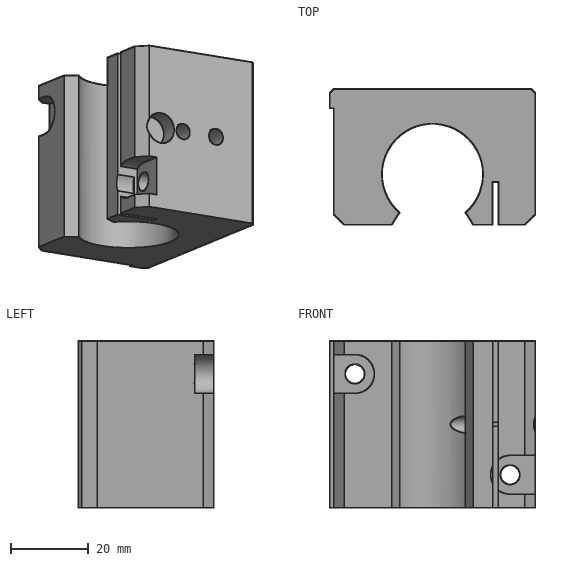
import cadquery as cq
import math

HEIGHT = 43.0
LEFT_X = -25.5
RIGHT_X = 26.5
BACK_Y = 22.0
FRONT_Y = -13.0
BACK_CHAMFER = 1.0
FRONT_CHAMFER = 2.7

LEDGE_PROJECTION = 1.0
LEDGE_LENGTH = 5.0

BORE_AXIS_X = 0.0
BORE_RADIUS = 13.0
THROAT_HALF_WIDTH = 8.5
MOUTH_HALF_WIDTH = 10.45

SLOT_LEFT_X = 15.5
SLOT_WIDTH = 1.5
SLOT_BOTTOM_Y = -2.0

MOUNT_OFFSET_X = 20.0
MOUNT_OFFSET_Z = 13.0
MOUNT_HOLE_DIAMETER = 4.92
SEAT_WIDTH = 10.0
SEAT_DEPTH = 5.0

LUBE_HOLE_DIAMETER = 4.3
LUBE_HOLE_Y = 10.0
RETAINING_HOLE_DIAMETER = 4.13
RETAINING_HOLE_Y = 0.0
CLAMP_RECESS_DIAMETER = 8.0
CLAMP_RECESS_Y = -6.75
CLAMP_RECESS_DEPTH = 5.0


def make_block():
    """Extrude the chamfered outline, including the ledge on the left side."""
    ledge_x = LEFT_X - LEDGE_PROJECTION
    ledge_front_y = BACK_Y - LEDGE_LENGTH
    outline = [
        (ledge_x + BACK_CHAMFER, BACK_Y),
        (RIGHT_X - BACK_CHAMFER, BACK_Y),
        (RIGHT_X, BACK_Y - BACK_CHAMFER),
        (RIGHT_X, FRONT_Y + FRONT_CHAMFER),
        (RIGHT_X - FRONT_CHAMFER, FRONT_Y),
        (LEFT_X + FRONT_CHAMFER, FRONT_Y),
        (LEFT_X, FRONT_Y + FRONT_CHAMFER),
        (LEFT_X, ledge_front_y),
        (ledge_x, ledge_front_y),
        (ledge_x, BACK_Y - BACK_CHAMFER),
    ]
    return cq.Workplane("XY").polyline(outline).close().extrude(HEIGHT / 2, both=True)


def make_open_bore():
    """Cutter for the bore and its flared mouth."""
    throat_y = -math.sqrt(BORE_RADIUS**2 - THROAT_HALF_WIDTH**2)
    return (
        cq.Workplane("XY")
        .moveTo(-MOUTH_HALF_WIDTH, FRONT_Y)
        .lineTo(-THROAT_HALF_WIDTH, throat_y)
        .threePointArc((BORE_AXIS_X, BORE_RADIUS), (THROAT_HALF_WIDTH, throat_y))
        .lineTo(MOUTH_HALF_WIDTH, FRONT_Y)
        .close()
        .extrude(HEIGHT / 2, both=True)
    )


def make_clamp_slot():
    """Cutter for the full-height slot beside the bore."""
    slot_depth = SLOT_BOTTOM_Y - FRONT_Y
    slot = cq.Workplane("XY").box(SLOT_WIDTH, slot_depth, HEIGHT, centered=(False, False, True))
    return slot.translate((SLOT_LEFT_X, FRONT_Y, 0))


def make_mount(side):
    """Cutter for one mounting hole and its seat; side is -1 for left, +1 for right."""
    centre_x = side * MOUNT_OFFSET_X
    centre_z = -side * MOUNT_OFFSET_Z
    side_x = RIGHT_X if side > 0 else LEFT_X
    front = cq.Workplane("XZ", origin=(0, FRONT_Y, 0))
    hole = front.center(centre_x, centre_z).circle(MOUNT_HOLE_DIAMETER / 2).extrude(FRONT_Y - BACK_Y)
    round_end = front.center(centre_x, centre_z).circle(SEAT_WIDTH / 2).extrude(-SEAT_DEPTH)
    opening = (
        front.center((centre_x + side_x) / 2, centre_z)
        .rect(abs(side_x - centre_x), SEAT_WIDTH)
        .extrude(-SEAT_DEPTH)
    )
    return hole.union(round_end).union(opening)


def make_cross_hole(diameter, y, inner_x):
    """Cutter for a hole along X from the right side inward to inner_x."""
    return cq.Workplane("YZ", origin=(inner_x, y, 0)).circle(diameter / 2).extrude(RIGHT_X - inner_x)


result = make_block().cut(make_open_bore()).cut(make_clamp_slot())

for mount_side in (-1, 1):
    result = result.cut(make_mount(mount_side))

result = result.cut(make_cross_hole(LUBE_HOLE_DIAMETER, LUBE_HOLE_Y, BORE_AXIS_X))
result = result.cut(make_cross_hole(RETAINING_HOLE_DIAMETER, RETAINING_HOLE_Y, BORE_AXIS_X))

recess_floor_x = RIGHT_X - CLAMP_RECESS_DEPTH
result = result.cut(make_cross_hole(CLAMP_RECESS_DIAMETER, CLAMP_RECESS_Y, recess_floor_x))